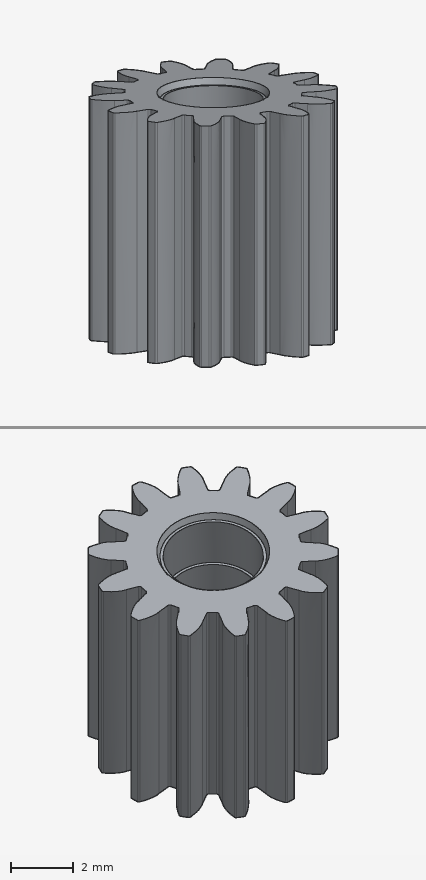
import cadquery as cq
import math

tooth_count = 14
tip_diameter = 8.0
face_width = 8.0
pressure_angle = math.radians(20.0)
root_radius = 2.83
root_half_thickness = 0.46
tip_fillet = 0.08
root_fillet = 0.08

module = tip_diameter / (tooth_count + 2)
tip_radius = tip_diameter / 2
pitch_radius = module * tooth_count / 2
base_radius = pitch_radius * math.cos(pressure_angle)
tooth_pitch = 2 * math.pi / tooth_count

bore_diameter = 3.0
seat_diameter = 3.2
seat_depth = 2.0
lead_in_floor_diameter = 3.4
lead_in_mouth_diameter = 3.6
lead_in_depth = 0.22

involute_steps = 6
first_tooth_angle = math.pi / 2


def involute(angle):
    return math.tan(angle) - angle


def half_angle(radius):
    """Angle from the tooth centre line to the involute flank at a radius."""
    at_pitch = tooth_pitch / 4
    return at_pitch + involute(pressure_angle) - involute(math.acos(base_radius / radius))


def polar(radius, angle):
    return (radius * math.cos(angle), radius * math.sin(angle))


def gear_outline():
    """Closed gear profile: straight flank below the base circle, involute above it."""
    root_angle = math.asin(root_half_thickness / root_radius)
    radial_step = (tip_radius - base_radius) / involute_steps
    radii = [base_radius + radial_step * i for i in range(involute_steps + 1)]

    outline = cq.Workplane("XY").moveTo(*polar(root_radius, first_tooth_angle - root_angle))
    for tooth in range(tooth_count):
        centre = first_tooth_angle + tooth * tooth_pitch
        rising = [polar(r, centre - half_angle(r)) for r in radii]
        falling = [polar(r, centre + half_angle(r)) for r in reversed(radii)]
        outline = outline.lineTo(*rising[0])
        outline = outline.spline(rising[1:], includeCurrent=True)
        outline = outline.threePointArc(polar(tip_radius, centre), falling[0])
        outline = outline.spline(falling[1:], includeCurrent=True)
        outline = outline.lineTo(*polar(root_radius, centre + root_angle))
        gap_middle = polar(root_radius, centre + tooth_pitch / 2)
        next_root = polar(root_radius, centre + tooth_pitch - root_angle)
        outline = outline.threePointArc(gap_middle, next_root)
    return outline.close()


def edges_at_radius(body, radius):
    """Lengthwise edges lying on the given circle about the gear axis."""
    tolerance = 0.001

    def on_circle(edge):
        centre = edge.Center()
        return abs(math.hypot(centre.x, centre.y) - radius) < tolerance

    return body.edges("|Z").filter(on_circle)


def toothed_blank():
    blank = gear_outline().extrude(face_width)
    blank = edges_at_radius(blank, tip_radius).fillet(tip_fillet)
    return edges_at_radius(blank, root_radius).fillet(root_fillet)


def bore_cutter():
    """Revolved bore: conical lead-in, shallow ledge, seat, then the through bore."""
    seat_floor = face_width - seat_depth
    lead_in_floor = face_width - lead_in_depth
    profile = [
        (0, 0),
        (bore_diameter / 2, 0),
        (bore_diameter / 2, seat_floor),
        (seat_diameter / 2, seat_floor),
        (seat_diameter / 2, lead_in_floor),
        (lead_in_floor_diameter / 2, lead_in_floor),
        (lead_in_mouth_diameter / 2, face_width),
        (0, face_width),
    ]
    return cq.Workplane("XZ").polyline(profile).close().revolve(360, (0, 0), (0, 1))


result = toothed_blank().cut(bore_cutter())